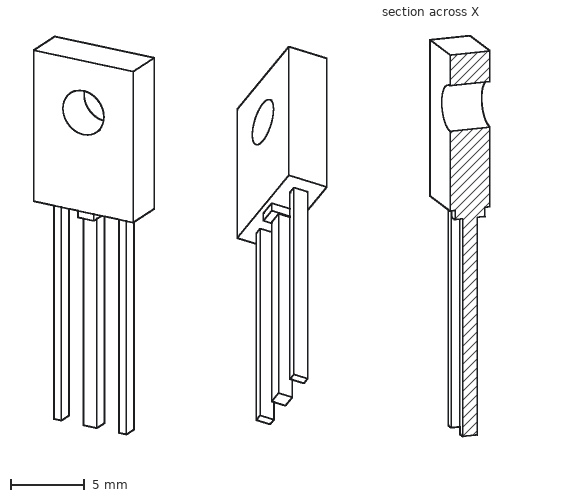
import cadquery as cq

total_height = 27.05
body_width = 7.8
body_depth = 2.9
body_height = 11.04

hole_diameter = 3.2
hole_below_top = 3.8

lead_pitch = 2.55
outer_lead_width = 0.6
centre_lead_width = 1.05
lead_depth = 1.05
collar_width = 1.25
collar_depth = 2.2
collar_height = 0.65

body_bottom = total_height - body_height


def block(width, depth, bottom, top, x=0):
    """Box centred on (x, 0) that spans bottom to top in height."""
    return (
        cq.Workplane("XY", origin=(x, 0, bottom))
        .rect(width, depth)
        .extrude(top - bottom)
    )


def make_body():
    """Rectangular body with its mounting hole running front to back."""
    body = block(body_width, body_depth, body_bottom, total_height)
    hole = (
        cq.Workplane("XZ", origin=(0, 0, total_height - hole_below_top))
        .circle(hole_diameter / 2)
        .extrude(body_depth / 2, both=True)
    )
    return body.cut(hole)


result = make_body()

result = result.union(block(collar_width, collar_depth, body_bottom - collar_height, body_bottom))

result = result.union(block(centre_lead_width, lead_depth, 0, body_bottom))
for side in (-1, 1):
    result = result.union(block(outer_lead_width, lead_depth, 0, body_bottom, side * lead_pitch))